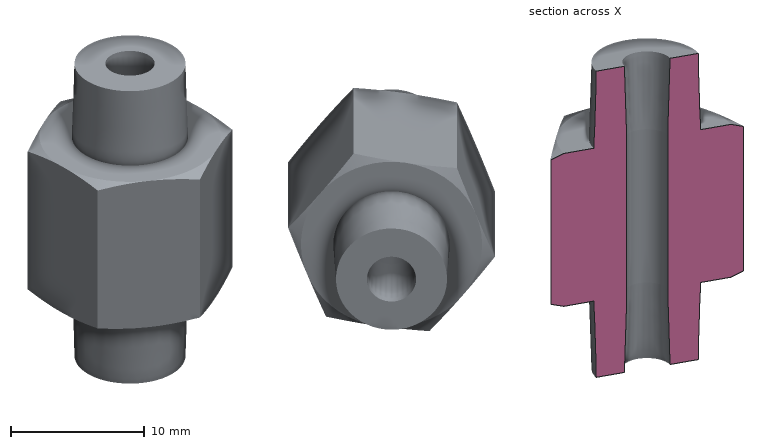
import cadquery as cq
import math

total_length = 25.4
hex_length = total_length / 2
across_flats = 13.6
hex_chamfer_angle = 19.0
root_diameter = 8.74
bore_diameter = 3.3
end_taper = 1 / 16

across_corners = across_flats / math.cos(math.radians(30))
half_length = total_length / 2
half_hex = hex_length / 2
taper_growth = end_taper * (half_length - half_hex)
tip_diameter = root_diameter - taper_growth
mouth_diameter = bore_diameter + taper_growth


def hexagon():
    """Hexagonal body with corners on the Y axis and chamfered at both ends."""
    prism = (
        cq.Workplane("XY", origin=(0, 0, -half_hex))
        .polygon(6, across_corners)
        .extrude(hex_length)
        .rotate((0, 0, 0), (0, 0, 1), 30)
    )
    face_radius = across_flats / 2
    rim_radius = across_corners
    rim_drop = (rim_radius - face_radius) * math.tan(math.radians(hex_chamfer_angle))
    rim_height = half_hex - rim_drop
    envelope = (
        cq.Workplane("XZ")
        .moveTo(0, -half_hex)
        .lineTo(face_radius, -half_hex)
        .lineTo(rim_radius, -rim_height)
        .lineTo(rim_radius, rim_height)
        .lineTo(face_radius, half_hex)
        .lineTo(0, half_hex)
        .close()
        .revolve(360, (0, 0, 0), (0, 1, 0))
    )
    return prism.intersect(envelope)


def turned_core(end_diameter, middle_diameter):
    """Full-length turned solid: straight inside the hexagon, conical out to each end face."""
    return (
        cq.Workplane("XZ")
        .moveTo(0, -half_length)
        .lineTo(end_diameter / 2, -half_length)
        .lineTo(middle_diameter / 2, -half_hex)
        .lineTo(middle_diameter / 2, half_hex)
        .lineTo(end_diameter / 2, half_length)
        .lineTo(0, half_length)
        .close()
        .revolve(360, (0, 0, 0), (0, 1, 0))
    )


tapered_ends = turned_core(tip_diameter, root_diameter)
bore = turned_core(mouth_diameter, bore_diameter)

result = hexagon().union(tapered_ends).cut(bore)